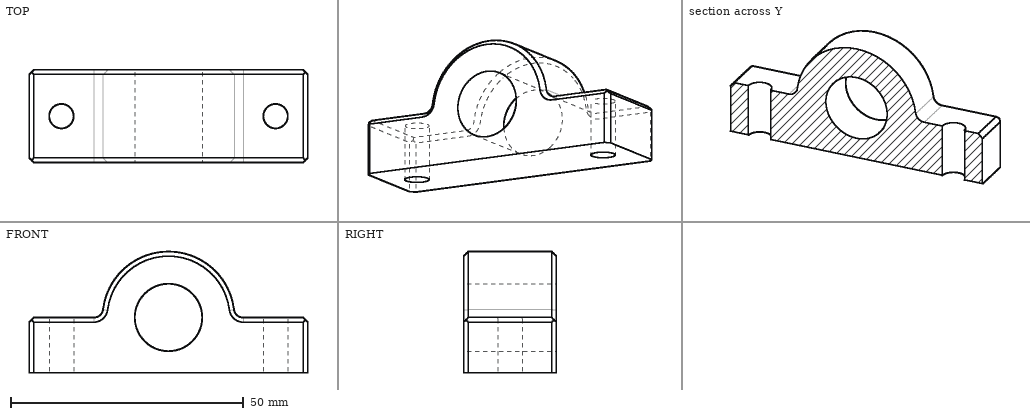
import cadquery as cq
import math

length = 60.0
width = 20.0
base_height = 11.95
chamfer = 1.0

housing_radius = 14.2
bore_diameter = 14.45
fillet_radius = 2.0

hole_diameter = 5.2
hole_offset = 23.05


def make_profile():
    """Outline of base and housing, with concave fillets where they meet."""
    half = length / 2
    center_distance = housing_radius + fillet_radius
    fillet_x = math.sqrt(center_distance**2 - fillet_radius**2)
    fillet_z = base_height + fillet_radius

    tangent_x = fillet_x * housing_radius / center_distance
    tangent_z = base_height + fillet_radius * housing_radius / center_distance

    slope = math.atan2(fillet_radius, fillet_x)
    bisector = math.pi + (slope + math.pi / 2) / 2
    middle_x = fillet_x + fillet_radius * math.cos(bisector)
    middle_z = fillet_z + fillet_radius * math.sin(bisector)

    return (
        cq.Workplane("XZ")
        .moveTo(-half, 0)
        .lineTo(half, 0)
        .lineTo(half, base_height)
        .lineTo(fillet_x, base_height)
        .threePointArc((middle_x, middle_z), (tangent_x, tangent_z))
        .threePointArc((0, base_height + housing_radius), (-tangent_x, tangent_z))
        .threePointArc((-middle_x, middle_z), (-fillet_x, base_height))
        .lineTo(-half, base_height)
        .close()
    )


def make_corner_prism():
    """Upright block whose chamfered vertical corners bound the plan outline."""
    height = base_height + housing_radius
    return (
        cq.Workplane("XY")
        .rect(length, width)
        .extrude(height)
        .edges("|Z")
        .chamfer(chamfer)
    )


def make_end_wedge():
    """Wedge removed from the top edge of the +X end."""
    return (
        cq.Workplane("XZ")
        .moveTo(length / 2, base_height)
        .lineTo(length / 2 - chamfer, base_height)
        .lineTo(length / 2, base_height - chamfer)
        .close()
        .extrude(width, both=True)
    )


def make_body():
    """Extruded profile, chamfered except at its bottom, with mitred top corners."""
    body = make_profile().extrude(width / 2, both=True)
    body = body.faces("<Y or >Y").edges("not (<Z or |Z)").chamfer(chamfer)
    body = body.intersect(make_corner_prism())
    wedge = make_end_wedge()
    return body.cut(wedge).cut(wedge.mirror("YZ"))


def make_bore():
    """Shaft bore running through the full width."""
    return (
        cq.Workplane("XZ")
        .center(0, base_height)
        .circle(bore_diameter / 2)
        .extrude(width, both=True)
    )


def make_mounting_holes():
    """One vertical through hole in each foot."""
    return (
        cq.Workplane("XY")
        .pushPoints([(-hole_offset, 0), (hole_offset, 0)])
        .circle(hole_diameter / 2)
        .extrude(base_height)
    )


result = make_body().cut(make_bore()).cut(make_mounting_holes())